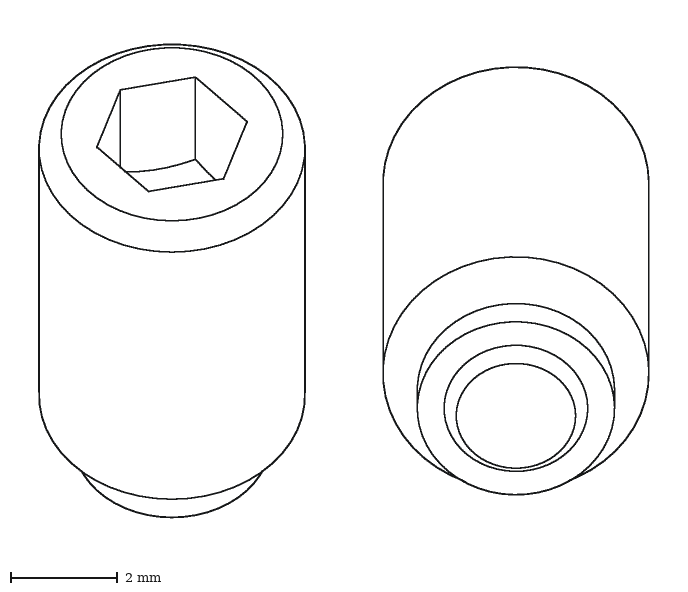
import cadquery as cq
import math

total_height = 9.5
body_diameter = 5.0
body_bottom = 1.65
top_chamfer = 0.42

nose_diameter = 3.705
nose_bottom = 0.29
shoulder_bottom = 1.01

socket_flats = 2.5
socket_depth = 2.47
socket_cone_angle = 120.0

mouth_radius = 1.35
flat_radius = 1.12

body_radius = body_diameter / 2
nose_radius = nose_diameter / 2

ball_center = (mouth_radius**2 - flat_radius**2 + nose_bottom**2) / (2 * nose_bottom)
ball_radius = math.hypot(flat_radius, ball_center)


def make_sphere():
    return cq.Workplane("XY", origin=(0, 0, ball_center)).sphere(ball_radius)


def make_ball():
    """Ball with everything below the bearing flat removed."""
    below_flat = cq.Workplane("XY").circle(body_radius).extrude(-body_radius)
    return make_sphere().cut(below_flat)


def make_socket():
    """Hexagonal prism whose lower end is trimmed to a cone across its corners."""
    corner_radius = socket_flats / math.sqrt(3)
    cone_depth = corner_radius / math.tan(math.radians(socket_cone_angle / 2))
    cone_base = total_height - socket_depth
    prism = (
        cq.Workplane("XY", origin=(0, 0, total_height))
        .polygon(6, 2 * corner_radius)
        .extrude(-(socket_depth + cone_depth))
    )
    drill = (
        cq.Workplane("XZ")
        .moveTo(0, cone_base - cone_depth)
        .lineTo(corner_radius, cone_base)
        .lineTo(corner_radius, total_height)
        .lineTo(0, total_height)
        .close()
        .revolve(360, (0, 0, 0), (0, 1, 0))
    )
    return prism.intersect(drill)


def make_housing():
    """Turned screw body with a ball seat below and a hexagon socket above."""
    turned_body = (
        cq.Workplane("XZ")
        .moveTo(0, nose_bottom)
        .lineTo(nose_radius, nose_bottom)
        .lineTo(nose_radius, shoulder_bottom)
        .lineTo(body_radius, body_bottom)
        .lineTo(body_radius, total_height - top_chamfer)
        .lineTo(body_radius - top_chamfer, total_height)
        .lineTo(0, total_height)
        .close()
        .revolve(360, (0, 0, 0), (0, 1, 0))
    )
    return turned_body.cut(make_socket()).cut(make_sphere())


housing = make_housing()
ball = make_ball()

result = cq.Compound.makeCompound([housing.val(), ball.val()])